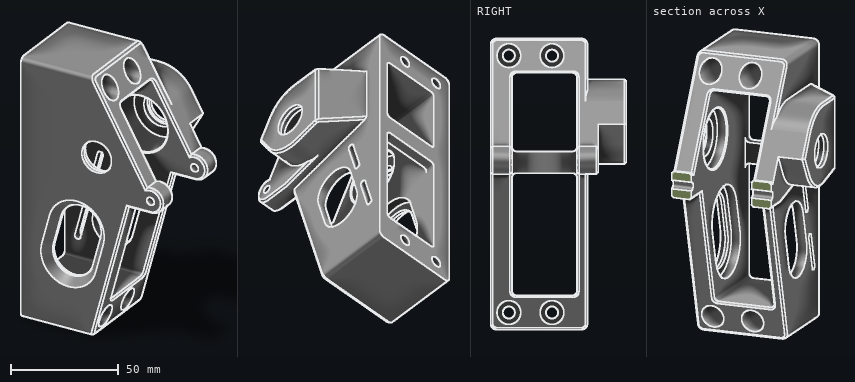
import cadquery as cq
import math

body_height = 135.0
body_width = 45.0
body_depth = 38.6
half_height = body_height / 2
upper_slope = math.radians(30)
lower_slope = math.radians(15)
edge_radius = 3.0
edge_chamfer = 1.0

lug_x = 70.0
lug_radius = 6.43
lug_bottom_z = 4.64
lug_z = lug_bottom_z + lug_radius
lug_hole_diameter = 4.0
beyond_lug_x = lug_x + 2 * lug_radius
lower_corner_x = body_depth + (half_height + lug_bottom_z) * math.tan(lower_slope)
lug_rear_y = 50.0
rear_plate_front_y = 42.0

cavity_front_y = 10.0
cavity_rear_y = 40.0
cavity_half_height = 51.5
cavity_radius = 2.0
frame_thickness = 5.0
bar_bottom_z = 5.0
bar_top_z = 15.2

screw_ys = (8.5, 28.5)
screw_z = 59.5
screw_diameter = 5.5
screw_head_diameter = 11.0

shaft_x = 41.0
shaft_z = 26.5
lip_diameter = 16.0
lip_thickness = 2.0
shaft_diameter = 18.0
bearing_diameter = 28.5
bearing_cover = 5.0
seat_chamfer = 0.5

boss_rear_y = 63.0
boss_top_z = 48.6
boss_top_radius = 20.0
boss_wall = 3.0
boss_radius = bearing_diameter / 2 + boss_wall
boss_left_x = 8.6
boss_left_rear_x = 23.4
boss_side_slope = (boss_left_rear_x - boss_left_x) / (boss_rear_y - body_width)
boss_root_x = boss_left_x - boss_side_slope * (body_width - rear_plate_front_y)

slot_x = 28.0
slot_z = -21.8
slot_center_distance = 16.0
slot_diameter = 22.0
slot_taper_depth = 4.0
slot_taper_angle = 45
slot_mouth_diameter = (
    slot_diameter + 2 * slot_taper_depth * math.tan(math.radians(slot_taper_angle))
)
slot_land = 1.5

slit_width = 3.0
slit_center_distance = 16.0
slit_spacing = 31.0
slit_offset = 15.5


def upper_slope_x(z):
    """X of the upper slope at height z."""
    return body_depth + (half_height - z) * math.tan(upper_slope)


def plane_at(y, x=0.0, z=0.0):
    """Sketch plane facing +Y, with local x along X and local y along -Z."""
    return cq.Workplane(cq.Plane(origin=(x, y, z), xDir=(1, 0, 0), normal=(0, 1, 0)))


def cylinder(x, z, diameter, y_start, y_end):
    """Cylinder along Y between two limits."""
    return plane_at(y_start, x, z).circle(diameter / 2).extrude(y_end - y_start)


def lug_notch():
    """Point where the upper slope meets the lug circle."""
    slope_normal = (math.cos(upper_slope), math.sin(upper_slope))
    distance = (upper_slope_x(lug_z) - lug_x) * slope_normal[0]
    along = math.sqrt(lug_radius**2 - distance**2)
    x = lug_x + distance * slope_normal[0] - along * math.sin(upper_slope)
    z = lug_z + distance * slope_normal[1] + along * math.cos(upper_slope)
    return x, z


def add_lug_outline(sketch):
    """Carry an outline from the upper slope round the lug to the lower corner."""
    notch_x, notch_z = lug_notch()
    return (
        sketch.lineTo(notch_x, -notch_z)
        .threePointArc((lug_x + lug_radius, -lug_z), (lug_x, -lug_bottom_z))
        .lineTo(lower_corner_x, -lug_bottom_z)
    )


def housing():
    """Block with two sloped rear faces that run out into the hinge lug."""
    sketch = plane_at(0).moveTo(0, -half_height).lineTo(body_depth, -half_height)
    sketch = add_lug_outline(sketch).lineTo(body_depth, half_height).lineTo(0, half_height)
    solid = sketch.close().extrude(body_width)
    solid = solid.edges("|X").edges(">Z or <Z").fillet(edge_radius)
    return chamfer_sloped_rims(solid, 0, body_width, body_depth - edge_chamfer)


def chamfer_sloped_rims(solid, front_y, rear_y, start_x):
    """Chamfer the sloped-face edges that lie near two planes of constant Y."""
    reach = edge_radius / 2
    front_rim, rear_rim = (
        cq.selectors.BoxSelector(
            (start_x, y - reach, -body_height), (beyond_lug_x, y + reach, body_height)
        )
        for y in (front_y, rear_y)
    )
    return solid.edges(front_rim + rear_rim).chamfer(edge_chamfer)


def block(x_range, y_range, z_range):
    """Box between pairs of limits along each axis."""
    size = [high - low for low, high in (x_range, y_range, z_range)]
    corner = (x_range[0], y_range[0], z_range[0])
    return cq.Workplane("XY").box(*size, centered=False).translate(corner)


def cavity():
    """Opening right through the housing along X."""
    return block(
        (0, beyond_lug_x),
        (cavity_front_y, cavity_rear_y),
        (-cavity_half_height, cavity_half_height),
    ).edges("|X").fillet(cavity_radius)


def window(z_low, z_high):
    """Round-cornered opening through the mounting frame between two heights."""
    return block(
        (0, frame_thickness), (cavity_front_y, cavity_rear_y), (z_low, z_high)
    ).edges("|X").fillet(cavity_radius)


def frame_bar():
    """Bar across the mounting side that splits it into two windows."""
    bar = block(
        (0, frame_thickness),
        (cavity_front_y, cavity_rear_y),
        (-cavity_half_height, cavity_half_height),
    )
    upper_window = window(bar_top_z, cavity_half_height)
    lower_window = window(-cavity_half_height, bar_bottom_z)
    return bar.cut(upper_window).cut(lower_window)


def boss_circle_point(angle):
    """Point on the circle round the bearing, as sketch coordinates."""
    return (
        shaft_x + boss_radius * math.cos(angle),
        -shaft_z - boss_radius * math.sin(angle),
    )


def underside_angle():
    """Angle at which the line from the lower corner touches the boss circle."""
    dx = lower_corner_x - shaft_x
    dz = lug_bottom_z - shaft_z
    return math.atan2(dz, dx) - math.acos(boss_radius / math.hypot(dx, dz))


def start_rear_outline():
    """Outline from the underside tangent point round the left and top to the upper slope."""
    tangent_x, tangent_z = boss_circle_point(underside_angle())
    underside_slope = (-lug_bottom_z - tangent_z) / (lower_corner_x - tangent_x)
    left_z = tangent_z - underside_slope * (tangent_x - boss_root_x)
    arc_z = boss_top_z - boss_top_radius
    arc_x = upper_slope_x(arc_z) - boss_top_radius / math.cos(upper_slope)
    middle_angle = (math.pi / 2 + upper_slope) / 2
    arc_middle, arc_end = (
        (
            arc_x + boss_top_radius * math.cos(angle),
            -arc_z - boss_top_radius * math.sin(angle),
        )
        for angle in (middle_angle, upper_slope)
    )
    return (
        plane_at(rear_plate_front_y)
        .moveTo(tangent_x, tangent_z)
        .lineTo(boss_root_x, left_z)
        .lineTo(boss_root_x, -boss_top_z)
        .lineTo(arc_x, -boss_top_z)
        .threePointArc(arc_middle, arc_end)
    )


def boss_outline():
    """Round the bearing below, then up to the slope along its mirror-image tangent."""
    tangent_angle = -upper_slope
    tangent_x, tangent_z = boss_circle_point(tangent_angle)
    gap = upper_slope_x(-tangent_z) - tangent_x
    apex_x = tangent_x + gap / 2
    apex_z = tangent_z - gap / 2 / math.tan(upper_slope)
    middle_angle = (tangent_angle + underside_angle()) / 2
    return (
        start_rear_outline()
        .lineTo(apex_x, apex_z)
        .lineTo(tangent_x, tangent_z)
        .threePointArc(boss_circle_point(middle_angle), boss_circle_point(underside_angle()))
        .close()
    )


def slanted_side_wedge():
    """Material removed to leave the slanted left side of the boss."""
    return (
        cq.Workplane("XY", origin=(0, 0, -half_height))
        .moveTo(boss_root_x, rear_plate_front_y)
        .lineTo(boss_left_rear_x, boss_rear_y)
        .lineTo(boss_root_x, boss_rear_y)
        .close()
        .extrude(body_height)
    )


def bearing_boss():
    """Boss behind the housing, chamfered round its rear face and slanted side."""
    solid = boss_outline().extrude(boss_rear_y - rear_plate_front_y).cut(slanted_side_wedge())
    outer_faces = solid.faces(">Y").add(solid.faces("<X"))
    return outer_faces.edges().chamfer(edge_chamfer)


def rear_lug():
    """Plate below the boss that carries the rear lug, chamfered round its lower side."""
    y_range = (rear_plate_front_y, lug_rear_y)
    solid = add_lug_outline(start_rear_outline()).close().extrude(lug_rear_y - rear_plate_front_y)
    solid = solid.intersect(block((shaft_x - boss_radius, beyond_lug_x), y_range, (0, half_height)))
    lower_edges = cq.selectors.BoxSelector((0, 0, 0), (beyond_lug_x, boss_rear_y, shaft_z / 2))
    return solid.faces(">Y").edges(lower_edges).chamfer(edge_chamfer)


def bearing_bores():
    """Shaft bore along Y with a lip at each outer face and a bearing seat inside each wall."""
    lip_bore = cylinder(shaft_x, shaft_z, lip_diameter, 0, boss_rear_y)
    shaft_bore = cylinder(
        shaft_x, shaft_z, shaft_diameter, lip_thickness, boss_rear_y - lip_thickness
    )
    bearing_seats = cylinder(
        shaft_x, shaft_z, bearing_diameter, bearing_cover, boss_rear_y - bearing_cover
    )
    mouth_diameter = bearing_diameter + 2 * seat_chamfer
    seat_mouths = cylinder(
        shaft_x,
        shaft_z,
        mouth_diameter,
        cavity_front_y - seat_chamfer,
        cavity_rear_y + seat_chamfer,
    ).faces("|Y").edges().chamfer(seat_chamfer)
    return lip_bore.union(shaft_bore).union(bearing_seats).union(seat_mouths)


def tilted_slot(x, z, center_distance, width, y_start, y_end, taper=0):
    """Slot tilted like the lower slope, cut from one Y to another and narrowing by the taper."""
    tilt = math.degrees(lower_slope) - 90
    sketch = plane_at(y_start, x, z).slot2D(center_distance + width, width, tilt)
    return sketch.extrude(y_end - y_start, taper=taper)


def oval_opening():
    """Opening through both walls, with a tapered mouth and a recess inside the front wall."""
    place = (slot_x, slot_z, slot_center_distance)
    through = tilted_slot(*place, slot_diameter, 0, body_width)
    mouth = tilted_slot(*place, slot_mouth_diameter, 0, slot_taper_depth, slot_taper_angle)
    recess_y = slot_taper_depth + slot_land
    recess = tilted_slot(*place, slot_mouth_diameter, recess_y, cavity_front_y)
    return through.union(mouth).union(recess)


def slits():
    """Two narrow slits through the rear wall, alongside the oval opening."""
    cutter = cq.Workplane("XY")
    for along in (-slit_spacing / 2, slit_spacing / 2):
        x = slot_x - slit_offset * math.cos(lower_slope) + along * math.sin(lower_slope)
        z = slot_z + slit_offset * math.sin(lower_slope) + along * math.cos(lower_slope)
        cutter = cutter.union(
            tilted_slot(x, z, slit_center_distance, slit_width, cavity_rear_y, body_width)
        )
    return cutter


def screw_holes():
    """Four mounting holes along X, counterbored from the sloped faces."""
    cutter = cq.Workplane("XY")
    for y in screw_ys:
        for z in (-screw_z, screw_z):
            start = cq.Workplane("YZ", origin=(0, y, z))
            shank = start.circle(screw_diameter / 2).extrude(body_depth)
            head = start.workplane(offset=frame_thickness).circle(screw_head_diameter / 2)
            cutter = cutter.union(shank).union(head.extrude(beyond_lug_x))
    return cutter


hollow_housing = chamfer_sloped_rims(
    housing().cut(cavity()), cavity_front_y, cavity_rear_y, body_depth + edge_radius
)
result = (
    hollow_housing.union(frame_bar())
    .union(rear_lug())
    .union(bearing_boss())
    .cut(bearing_bores())
    .cut(oval_opening())
    .cut(slits())
    .cut(screw_holes())
    .cut(cylinder(lug_x, lug_z, lug_hole_diameter, 0, lug_rear_y))
)